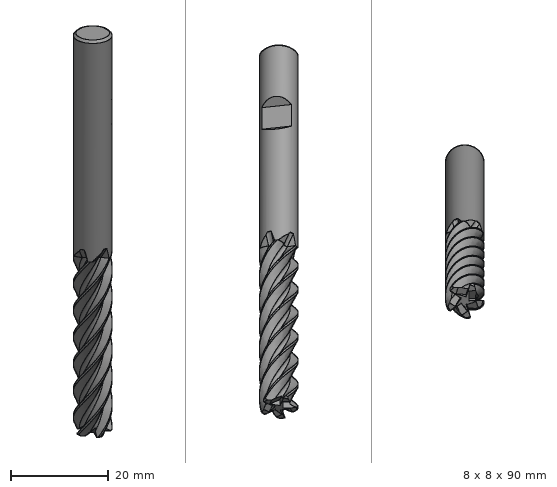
import cadquery as cq
import math

overall_length = 90.0
tool_diameter = 8.0
flute_length = 40.0
flute_count = 5
flute_lead = 30.2
first_edge_angle = 44.0

margin_angle = 8.0
back_middle_angle = 22.0
back_middle_radius = 3.4
bottom_start_angle = 36.0
bottom_start_radius = 2.8
bottom_middle_angle = 48.0
bottom_middle_radius = 2.25
rake_angle = 61.0
rake_foot_radius = 2.3

gash_depth = 1.5
gash_width = 2.2
gash_inner_radius = 0.9

runout_start_angle = 13.0
runout_length = 2.5

tip_chamfer = 0.4
shank_chamfer = 0.5
flat_depth = 1.4
flat_length = 5.5
flat_centre_from_top = 17.6

tool_radius = tool_diameter / 2
shank_length = overall_length - flute_length
tooth_pitch = 360.0 / flute_count
clear_radius = 2 * tool_radius


def polar(radius, angle):
    """Point in the XY plane at a radius and an angle in degrees."""
    return (radius * math.cos(math.radians(angle)), radius * math.sin(math.radians(angle)))


def twist_over(length):
    """Helix rotation in degrees over a length along the axis."""
    return 360.0 * length / flute_lead


def add_flute(sketch, edge):
    """Flute wall from the back of one tooth to the cutting edge of the next."""
    return (
        sketch
        .threePointArc(
            polar(back_middle_radius, edge + back_middle_angle),
            polar(bottom_start_radius, edge + bottom_start_angle),
        )
        .threePointArc(
            polar(bottom_middle_radius, edge + bottom_middle_angle),
            polar(rake_foot_radius, edge + rake_angle),
        )
        .lineTo(*polar(tool_radius, edge + tooth_pitch))
    )


def fluted_bar():
    """Twisted bar with the toothed cross-section."""
    profile = cq.Workplane("XY").moveTo(*polar(tool_radius, first_edge_angle))
    for tooth in range(flute_count):
        edge = first_edge_angle + tooth * tooth_pitch
        profile = profile.threePointArc(
            polar(tool_radius, edge + margin_angle / 2),
            polar(tool_radius, edge + margin_angle),
        )
        profile = add_flute(profile, edge)
    return profile.close().twistExtrude(flute_length, twist_over(flute_length))


def make_runout(edge):
    """Slanted continuation of one flute that rises outwards through the shank."""
    flute_end = cq.Workplane("XY", origin=(0, 0, flute_length))
    profile = flute_end.moveTo(*polar(tool_radius, edge + runout_start_angle))
    profile = add_flute(profile, edge)
    profile = (
        profile
        .lineTo(*polar(clear_radius, edge + tooth_pitch))
        .lineTo(*polar(clear_radius, edge + runout_start_angle))
        .close()
    )
    rise_x, rise_y = polar(tool_radius - rake_foot_radius, edge + rake_angle)
    rise = cq.Vector(rise_x, rise_y, runout_length)
    return cq.Workplane(cq.Solid.extrudeLinear(profile.val(), [], rise))


def make_gash(edge):
    """Radial wedge with its upright wall along one end-cutting edge."""
    return (
        cq.Workplane("YZ", origin=(gash_inner_radius, 0, 0))
        .polyline([(0, 0), (0, gash_depth), (-gash_width, 0)])
        .close()
        .extrude(tool_radius)
        .rotate((0, 0, 0), (0, 0, 1), edge)
    )


def make_cutter():
    """Fluted cutter with a small chamfer round its tip and gashed end teeth."""
    envelope = cq.Workplane("XY").circle(tool_radius).extrude(flute_length).faces("<Z").chamfer(tip_chamfer)
    cutter = fluted_bar().intersect(envelope)
    for tooth in range(flute_count):
        cutter = cutter.cut(make_gash(first_edge_angle + tooth * tooth_pitch))
    return cutter


def make_shank():
    """Round shank with a chamfered top, flute run-outs and a clamping flat."""
    shank = (
        cq.Workplane("XY", origin=(0, 0, flute_length))
        .circle(tool_radius)
        .extrude(shank_length)
        .faces(">Z")
        .chamfer(shank_chamfer)
    )
    top_edge_angle = first_edge_angle + twist_over(flute_length)
    for tooth in range(flute_count):
        shank = shank.cut(make_runout(top_edge_angle + tooth * tooth_pitch))
    flat_plane = tool_radius - flat_depth
    flat_centre = overall_length - flat_centre_from_top
    half_flat = flat_length / 2
    flat_cut = (
        cq.Workplane("YZ")
        .moveTo(flat_plane, flat_centre - half_flat)
        .lineTo(tool_radius, flat_centre - half_flat - flat_depth)
        .lineTo(tool_radius, flat_centre + half_flat + flat_depth)
        .lineTo(flat_plane, flat_centre + half_flat)
        .close()
        .extrude(tool_radius, both=True)
    )
    return shank.cut(flat_cut)


cutter = make_cutter()
shank = make_shank()
result = cq.Compound.makeCompound([shank.val(), cutter.val()])